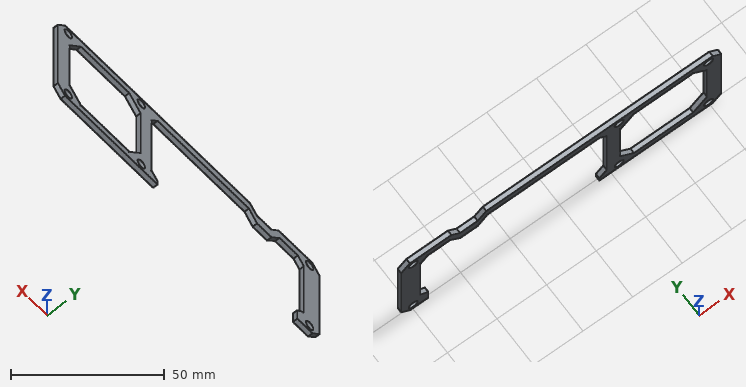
import cadquery as cq

length = 129.2
thickness = 2.0
height = 42.0
corner_chamfer = 3.5

hole_diameter = 3.6
hole_edge_z = 3.0
left_hole_x = 4.9
right_hole_x = length - 5.2
hole_pitch = height - 2 * hole_edge_z

bay_left = 7.8
bay_right = 83.0
bay_top = height - 3.9
bay_chamfer = 3.0
left_foot_end = 11.0
left_foot_height = 5.2
left_foot_root = 7.6
right_foot_height = 2.1
right_foot_end = bay_right - bay_chamfer

dip_floor_left = 23.8
dip_floor_right = 30.9
dip_depth = 3.5
dip_underside = height - 8.1
dip_under_run = 4.0

window_left = 88.4
window_right = 123.4
window_margin = 3.5
window_chamfer = 5.5


def make_plate():
    """Plate outline, running clockwise from the left foot around the bay."""
    outline = [
        (corner_chamfer, 0),
        (0, corner_chamfer),
        (0, height - corner_chamfer),
        (corner_chamfer, height),
        (dip_floor_left - dip_depth, height),
        (dip_floor_left, height - dip_depth),
        (dip_floor_right, height - dip_depth),
        (dip_floor_right + dip_depth, height),
        (length - corner_chamfer, height),
        (length, height - corner_chamfer),
        (length, corner_chamfer),
        (length - corner_chamfer, 0),
        (right_foot_end, 0),
        (right_foot_end, right_foot_height),
        (bay_right, right_foot_height + bay_chamfer),
        (bay_right, bay_top - bay_chamfer),
        (bay_right - bay_chamfer, bay_top),
        (dip_floor_right + dip_under_run, bay_top),
        (dip_floor_right, dip_underside),
        (dip_floor_left, dip_underside),
        (dip_floor_left - dip_under_run, bay_top),
        (bay_left + bay_chamfer, bay_top),
        (bay_left, bay_top - bay_chamfer),
        (bay_left, left_foot_root),
        (left_foot_end, left_foot_height),
        (left_foot_end, 0),
    ]
    return cq.Workplane("XZ").polyline(outline).close().extrude(-thickness)


def make_window():
    width = window_right - window_left
    window_height = height - 2 * window_margin
    return (
        cq.Workplane("XZ")
        .center((window_left + window_right) / 2, height / 2)
        .rect(width, window_height)
        .extrude(-thickness)
        .edges("|Y")
        .chamfer(window_chamfer)
    )


def make_holes():
    centers = []
    for x in (left_hole_x, right_hole_x - hole_pitch, right_hole_x):
        for z in (hole_edge_z, height - hole_edge_z):
            centers.append((x, z))
    return cq.Workplane("XZ").pushPoints(centers).circle(hole_diameter / 2).extrude(-thickness)


result = make_plate().cut(make_window()).cut(make_holes())